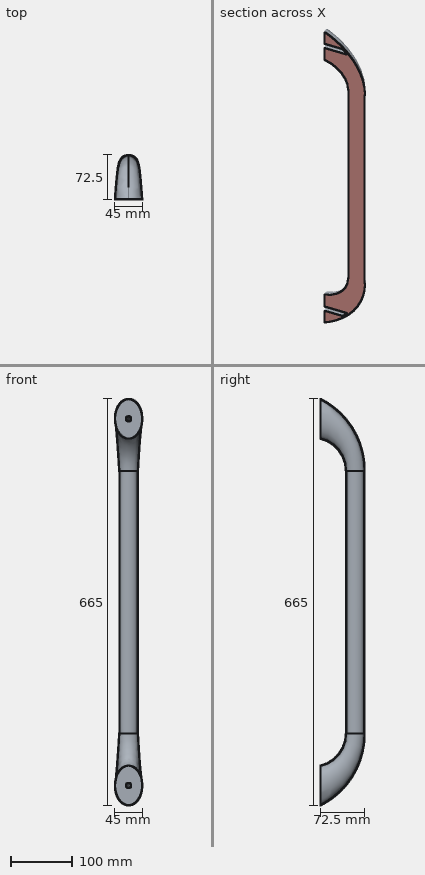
import cadquery as cq
import math

overall_height = 665.0
overall_depth = 72.5
rod_diameter = 30.0
rod_length = 430.0
elbow_end_diameter = 31.0
foot_width = 45.0
foot_height = 65.0
hole_diameter = 8.5
skin_thickness = 4.0
section_count = 7

rod_center_y = overall_depth - elbow_end_diameter / 2
joint_z = rod_length / 2
foot_center_z = (overall_height - foot_height) / 2


class BendArc:
    """Arc in the YZ plane, leaving the joint parallel to Z and ending on the foot plane."""

    def __init__(self, start_y, end_z):
        rise = end_z - joint_z
        self.radius = (start_y**2 + rise**2) / (2 * start_y)
        self.center_y = start_y - self.radius
        self.sweep = math.asin(rise / self.radius)

    def point(self, fraction):
        angle = fraction * self.sweep
        y = self.center_y + self.radius * math.cos(angle)
        z = joint_z + self.radius * math.sin(angle)
        return cq.Vector(0, y, z)


def make_bend(end_diameter, mouth_width, mouth_height):
    """Upper bend lofted from a circle at the rod joint to an ellipse on the foot plane."""
    inner_bend = BendArc(rod_center_y - end_diameter / 2, foot_center_z - mouth_height / 2)
    outer_bend = BendArc(rod_center_y + end_diameter / 2, foot_center_z + mouth_height / 2)
    x_axis = cq.Vector(1, 0, 0)
    sections = []
    for index in range(section_count):
        fraction = index / (section_count - 1)
        inner = inner_bend.point(fraction)
        across = outer_bend.point(fraction) - inner
        width = end_diameter + fraction * (mouth_width - end_diameter)
        plane = cq.Plane(origin=inner + across / 2, xDir=across, normal=x_axis.cross(across))
        ellipse = cq.Workplane(plane).ellipse(across.Length / 2, width / 2)
        sections.append(ellipse.wire().val())
    return cq.Workplane(cq.Solid.makeLoft(sections))


def make_upper_hole():
    """Hole square to the foot, ending on a slope that follows the back of the elbow."""
    base = cq.Workplane("XZ", origin=(0, 0, foot_center_z))
    straight_hole = base.circle(hole_diameter / 2).extrude(-overall_depth)
    inset = 2 * skin_thickness
    depth_limit = make_bend(elbow_end_diameter - inset, foot_width - inset, foot_height - inset)
    return straight_hole.intersect(depth_limit)


def make_rod():
    """Straight round rod between the two elbow joints."""
    rod_base = cq.Workplane("XY", origin=(0, rod_center_y, -joint_z))
    return rod_base.circle(rod_diameter / 2).extrude(rod_length)


upper_elbow = make_bend(elbow_end_diameter, foot_width, foot_height).cut(make_upper_hole())
lower_elbow = upper_elbow.mirror("XY")
result = make_rod().union(upper_elbow).union(lower_elbow)